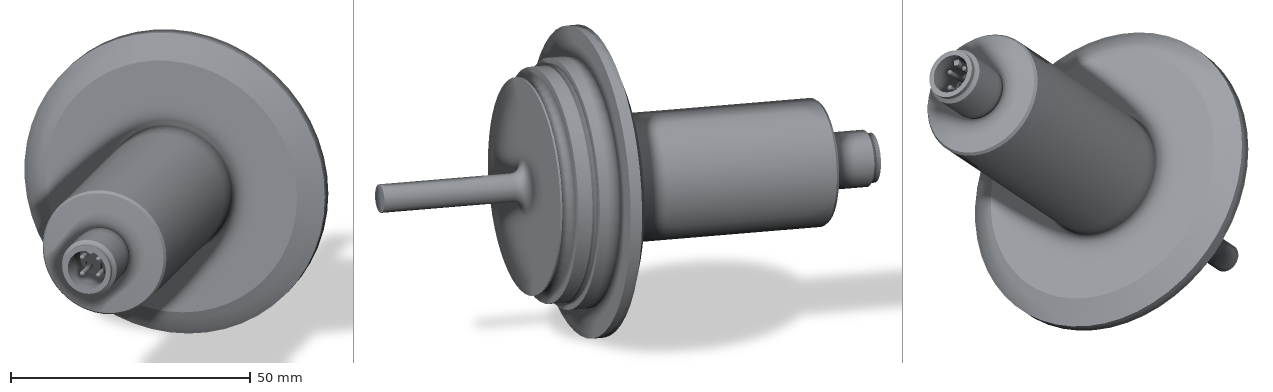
import cadquery as cq
import math

LENGTH = 109.2

PROBE_D = 6.0
PROBE_FILLET = 3.0

LIP_FACE = 77.2
LIP_D = 46.0
LIP_THICKNESS = 0.4
GROOVE_BACK = 73.9
GROOVE_BOTTOM_D = 43.9
GROOVE_BACK_D = 47.0
SEAL_D = 49.8
SEAL_FRONT = 70.8
NECK_D = 49.1
NECK_BACK = 70.2
NECK_FLARE_D = 50.0
COLLAR_D = 53.0
COLLAR_BACK = 69.7
FLANGE_D = 65.7
FLANGE_BACK = 65.1
FLANGE_RIM_FRONT = 62.6
FLANGE_FRONT = 60.2
FLANGE_FRONT_D = 55.0

BODY_D = 27.1
BODY_FILLET = 0.9
BODY_FRONT = 12.0
BODY_CHAMFER = 0.4
BODY_CHAMFER_LENGTH = 0.7
BODY_FACE_RISE = 0.5

PLUG_D = 12.0
PLUG_TIP_D = 10.5
PLUG_SHOULDER = 1.0
PLUG_ROOT_D = 11.6
PLUG_TAPER_START = 10.5
BORE_D = 8.3
BORE_DEPTH = 8.7
PIN_D = 1.0
PIN_TIP_D = 0.25
PIN_OFFSET = 1.77
PIN_SETBACK = 2.1
KEY_WIDTH = 1.2
KEY_HEIGHT = 1.3
KEY_SETBACK = 2.3
KEY_FILLET = 0.3
KEY_ROOT = 0.2

CROSS_HEIGHT = 1.1
CROSS_D = 6.9
CROSS_ARM_WIDTH = 1.4
CROSS_HEAD_WIDTH = 3.0
CROSS_HEAD_INNER = 2.6


def turned_body():
    """Solid of revolution about Y, drawn as radius against station."""
    probe_r = PROBE_D / 2
    body_r = BODY_D / 2
    plug_r = PLUG_D / 2
    flare = PROBE_FILLET * (1 - math.sqrt(0.5))
    root = BODY_FILLET * (1 - math.sqrt(0.5))
    groove_middle = (GROOVE_BACK + LIP_FACE - LIP_THICKNESS) / 2
    outline = (
        cq.Workplane("XY")
        .moveTo(0, 0)
        .lineTo(PLUG_TIP_D / 2, 0)
        .lineTo(PLUG_TIP_D / 2, PLUG_SHOULDER)
        .lineTo(plug_r, PLUG_SHOULDER + plug_r - PLUG_TIP_D / 2)
        .lineTo(plug_r, PLUG_TAPER_START)
        .lineTo(PLUG_ROOT_D / 2, BODY_FRONT - BODY_FACE_RISE)
        .lineTo(body_r - BODY_CHAMFER, BODY_FRONT)
        .lineTo(body_r, BODY_FRONT + BODY_CHAMFER_LENGTH)
        .lineTo(body_r, FLANGE_FRONT - BODY_FILLET)
        .threePointArc((body_r + root, FLANGE_FRONT - root), (body_r + BODY_FILLET, FLANGE_FRONT))
        .lineTo(FLANGE_FRONT_D / 2, FLANGE_FRONT)
        .lineTo(FLANGE_D / 2, FLANGE_RIM_FRONT)
        .lineTo(FLANGE_D / 2, FLANGE_BACK)
        .lineTo(COLLAR_D / 2, FLANGE_BACK)
        .lineTo(COLLAR_D / 2, COLLAR_BACK)
        .lineTo(NECK_FLARE_D / 2, COLLAR_BACK)
        .lineTo(NECK_D / 2, NECK_BACK)
        .lineTo(NECK_D / 2, SEAL_FRONT)
        .lineTo(SEAL_D / 2, SEAL_FRONT)
        .lineTo(SEAL_D / 2, GROOVE_BACK)
        .lineTo(GROOVE_BACK_D / 2, GROOVE_BACK)
        .threePointArc((GROOVE_BOTTOM_D / 2, groove_middle), (LIP_D / 2, LIP_FACE - LIP_THICKNESS))
        .lineTo(LIP_D / 2, LIP_FACE)
        .lineTo(probe_r + PROBE_FILLET, LIP_FACE)
        .threePointArc((probe_r + flare, LIP_FACE + flare), (probe_r, LIP_FACE + PROBE_FILLET))
        .lineTo(probe_r, LENGTH)
        .lineTo(0, LENGTH)
        .close()
    )
    return outline.revolve(360, (0, 0, 0), (0, 1, 0))


def cylinder(diameter, start, end, x=0.0, z=0.0):
    """Cylinder along Y between two stations."""
    return cq.Workplane("XZ", origin=(x, end, z)).circle(diameter / 2).extrude(end - start)


def contact_pin(x, z):
    """Round contact standing on the bore floor with a conical tip."""
    taper = (PIN_D - PIN_TIP_D) / 2
    pin = cylinder(PIN_D, PIN_SETBACK, BORE_DEPTH, x, z)
    return pin.faces("<Y").chamfer(taper)


def floor_block(width, low, high, front):
    """Block rising from the bore floor on the +Z side, spanning two heights along Z."""
    block = cq.Workplane("XY").box(width, BORE_DEPTH - front, high - low)
    return block.translate((0, (BORE_DEPTH + front) / 2, (low + high) / 2))


def key():
    """Coding rib with rounded inner edges along the top of the bore."""
    bore_r = BORE_D / 2
    rib = floor_block(KEY_WIDTH, bore_r - KEY_HEIGHT, bore_r + KEY_ROOT, KEY_SETBACK)
    return rib.edges("|Y and <Z").fillet(KEY_FILLET)


def cross_boss():
    """Four arms between the pins; all but the arm under the key end in a wider head."""
    front = BORE_DEPTH - CROSS_HEIGHT
    boss = floor_block(CROSS_ARM_WIDTH, -CROSS_D / 2, CROSS_D / 2, front)
    boss = boss.union(boss.rotate((0, 0, 0), (0, 1, 0), 90))
    head = floor_block(CROSS_HEAD_WIDTH, CROSS_HEAD_INNER, CROSS_D / 2, front)
    for angle in (90, 180, 270):
        boss = boss.union(head.rotate((0, 0, 0), (0, 1, 0), angle))
    return boss.intersect(cylinder(CROSS_D, front, BORE_DEPTH))


result = turned_body().cut(cylinder(BORE_D, 0, BORE_DEPTH)).union(cross_boss()).union(key())
for x in (-PIN_OFFSET, PIN_OFFSET):
    for z in (-PIN_OFFSET, PIN_OFFSET):
        result = result.union(contact_pin(x, z))